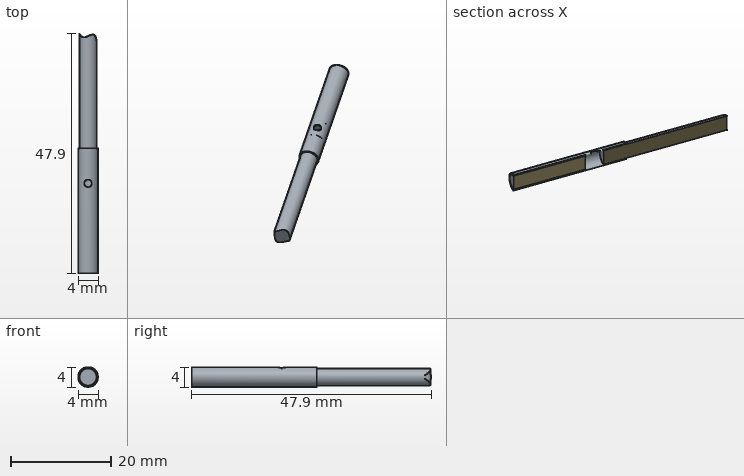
import cadquery as cq

total_length = 47.92
sleeve_length = 25.0

sleeve_diameter = 4.0
bore_diameter = 3.55
rear_rod_diameter = 3.5
rear_rod_radius = rear_rod_diameter / 2
front_rod_diameter = 3.45

hole_diameter = 1.5
hole_y = 18.0
rear_rod_insertion = 5.0
rear_rod_start = sleeve_length - rear_rod_insertion
front_rod_end = 2 * hole_y - rear_rod_start

trough_x = -0.45
trough_depth = 0.67
crest_x = 0.7
crest_depth = 0.2
far_side_depth = 1.5


def rod(diameter, start, end):
    """Solid rod along Y from start to end."""
    return cq.Workplane("XZ", origin=(0, start, 0)).circle(diameter / 2).extrude(start - end)


def make_sleeve():
    """Open tube with one round hole through its top wall."""
    tube = (
        cq.Workplane("XZ")
        .circle(sleeve_diameter / 2)
        .circle(bore_diameter / 2)
        .extrude(-sleeve_length)
    )
    hole = cq.Workplane("XY", origin=(0, hole_y, 0)).circle(hole_diameter / 2).extrude(sleeve_diameter)
    return tube.cut(hole)


def make_front_rod():
    """Rod flush with the front end of the sleeve, stopping short of the hole."""
    return rod(front_rod_diameter, 0, front_rod_end)


def make_rear_rod():
    """Rod leaving the back of the sleeve and ending in a wavy break that runs straight along Z."""
    wave = [
        (trough_x, total_length - trough_depth),
        (crest_x, total_length - crest_depth),
        (rear_rod_radius, total_length - far_side_depth),
    ]
    envelope = (
        cq.Workplane("XY")
        .moveTo(-rear_rod_radius, rear_rod_start)
        .lineTo(-rear_rod_radius, total_length)
        .spline(wave, includeCurrent=True)
        .lineTo(rear_rod_radius, rear_rod_start)
        .close()
        .extrude(rear_rod_radius, both=True)
    )
    return rod(rear_rod_diameter, rear_rod_start, total_length).intersect(envelope)


sleeve = make_sleeve()
front_rod = make_front_rod()
rear_rod = make_rear_rod()

result = cq.Compound.makeCompound([sleeve.val(), front_rod.val(), rear_rod.val()])